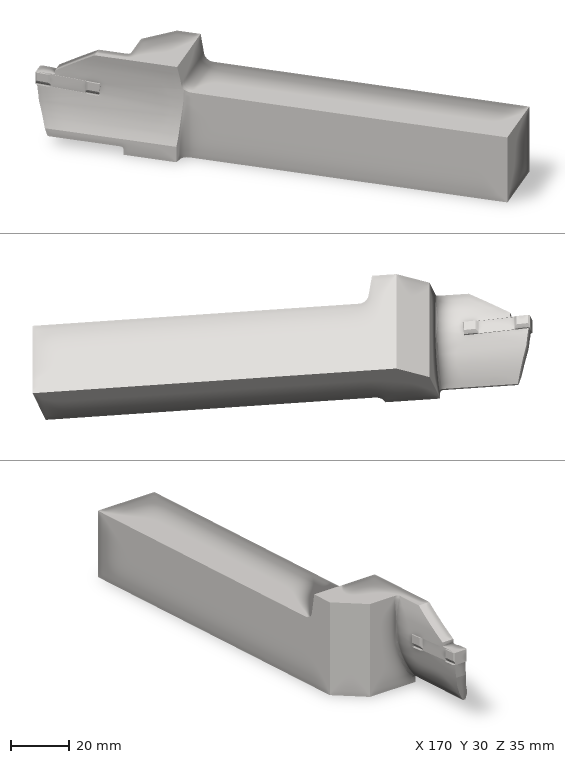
import cadquery as cq
import math

LENGTH = 170.0
WIDTH = 30.0
HEIGHT = 35.0
SHANK = 25.0
SHANK_FRONT = WIDTH - SHANK
FRONT_NECK_END = 55.2
FRONT_NECK_RADIUS = 2.7
TOP_NECK_END = 56.0
TOP_NECK_RADIUS = 3.4
NECK_TILT = math.radians(9.5)
HEAD_START = 33.0
HEAD_CHAMFER = 9.9

BLADE_BOTTOM = 3.0
STEP_RADIUS = 1.0
NOSE_BOTTOM_X = 5.6
NOSE_BEND = (1.5, 14.6)
NOSE_TOP_X = 0.5
JAW_START = 7.0
JAW_NOSE_TOP = 26.5
JAW_SLOPE_END = 21.6
GROOVE_RADIUS = 44.9
GROOVE_DEPTH = 4.2
GROOVE_Z = 25.0
BACK_RADIUS = 35.7
BACK_Y = 9.0
BACK_Z = 25.5
ROOT_FILLET = 1.0

INSERT_LENGTH = 23.5
INSERT_END_SLANT = 0.5
INSERT_HEIGHT = 4.6
INSERT_TOP = SHANK
INSERT_DROP = 1.0
TIP_FRONT = 3.5
TIP_BACK = 9.5
WAIST_FRONT = 4.0
WAIST_BACK = 8.8
TIP_LENGTH = 4.6
FLARE_LENGTH = 0.8
CORNER = 0.5
TIP_RELIEF_WIDTH = 1.2
TIP_RELIEF_HEIGHT = 1.5


def add_neck(outline, outer, shank_level, outward, neck_end, radius):
    """Draw the leaning end face and fillet from the head's outer side to the shank."""
    center = shank_level + outward * radius

    def on_fillet(angle):
        return (neck_end - radius * math.cos(angle),
                center - outward * radius * math.sin(angle))

    start = on_fillet(NECK_TILT)
    middle = on_fillet((NECK_TILT + math.pi / 2) / 2)
    outer_x = start[0] - abs(outer - start[1]) * math.tan(NECK_TILT)
    return (outline.lineTo(outer_x, outer).lineTo(*start)
            .threePointArc(middle, (neck_end, shank_level)))


def cylinder_along_x(radius, y, z, length):
    return cq.Workplane("YZ").center(y, z).circle(radius).extrude(length)


def side_prism():
    """Side outline of the whole holder, through the full width."""
    outline = (
        cq.Workplane("XZ").moveTo(LENGTH, 0)
        .lineTo(HEAD_START, 0)
        .lineTo(HEAD_START, BLADE_BOTTOM - STEP_RADIUS)
        .radiusArc((HEAD_START - STEP_RADIUS, BLADE_BOTTOM), -STEP_RADIUS)
        .lineTo(NOSE_BOTTOM_X, BLADE_BOTTOM)
        .lineTo(*NOSE_BEND)
        .lineTo(NOSE_TOP_X, INSERT_TOP - INSERT_HEIGHT)
        .lineTo(NOSE_TOP_X, INSERT_TOP)
        .lineTo(JAW_START, INSERT_TOP)
        .lineTo(JAW_START, JAW_NOSE_TOP)
        .lineTo(JAW_SLOPE_END, HEIGHT)
    )
    outline = add_neck(outline, HEIGHT, SHANK, 1, TOP_NECK_END, TOP_NECK_RADIUS)
    return outline.lineTo(LENGTH, SHANK).close().extrude(-WIDTH)


def plan_prism():
    """Plan outline of the holder, with the chamfered rear corner of the head."""
    outline = cq.Workplane("XY").moveTo(0, BACK_Y).lineTo(0, 0)
    outline = add_neck(outline, 0, SHANK_FRONT, -1, FRONT_NECK_END, FRONT_NECK_RADIUS)
    return (
        outline.lineTo(LENGTH, SHANK_FRONT)
        .lineTo(LENGTH, WIDTH)
        .lineTo(HEAD_START + HEAD_CHAMFER, WIDTH)
        .lineTo(HEAD_START, WIDTH - HEAD_CHAMFER)
        .lineTo(HEAD_START, BACK_Y)
        .close().extrude(HEIGHT)
    )


def space_behind_blade():
    """Space behind the convex blade face, with a rounded root at the head."""
    space = cq.Workplane("XY").box(HEAD_START, WIDTH, HEIGHT, centered=False)
    blade = cylinder_along_x(BACK_RADIUS, BACK_Y - BACK_RADIUS, BACK_Z, HEAD_START)
    root = cq.selectors.BoxSelector(
        (HEAD_START - ROOT_FILLET, 0, 0), (HEAD_START + ROOT_FILLET, BACK_Y, HEIGHT - ROOT_FILLET)
    )
    return space.cut(blade).edges("%CIRCLE").edges(root).fillet(ROOT_FILLET)


def insert_profile():
    """Sloping side profile of the insert and of its matching slot."""
    bottom = INSERT_TOP - INSERT_HEIGHT
    return (
        cq.Workplane("XZ")
        .polyline([
            (0, INSERT_TOP),
            (INSERT_LENGTH, INSERT_TOP - INSERT_DROP),
            (INSERT_LENGTH - INSERT_END_SLANT, bottom - INSERT_DROP),
            (0, bottom),
        ])
        .close().extrude(-WIDTH)
    )


def make_holder():
    holder = side_prism().intersect(plan_prism())
    groove = cylinder_along_x(GROOVE_RADIUS, GROOVE_DEPTH - GROOVE_RADIUS, GROOVE_Z, LENGTH)
    holder = holder.cut(space_behind_blade()).cut(groove)
    return holder.cut(insert_profile())


def insert_plan():
    """Double-ended plan outline: wide cutting ends joined by a narrow waist."""
    flare_end = TIP_LENGTH + FLARE_LENGTH
    front_half = [
        (0, TIP_FRONT + CORNER), (CORNER, TIP_FRONT),
        (TIP_LENGTH, TIP_FRONT), (flare_end, WAIST_FRONT),
    ]
    back_half = [
        (flare_end, WAIST_BACK), (TIP_LENGTH, TIP_BACK),
        (CORNER, TIP_BACK), (0, TIP_BACK - CORNER),
    ]
    far_front = [(INSERT_LENGTH - x, y) for x, y in reversed(front_half)]
    far_back = [(INSERT_LENGTH - x, y) for x, y in reversed(back_half)]
    return (cq.Workplane("XY").polyline(front_half + far_front + far_back + back_half)
            .close().extrude(HEIGHT))


def tip_relief(side_y, inward):
    """Sloping wedges that narrow both ends along one lower edge of the insert."""
    bottom = INSERT_TOP - INSERT_HEIGHT
    wedge = (
        cq.Workplane("YZ")
        .polyline([
            (side_y, bottom),
            (side_y + inward * TIP_RELIEF_WIDTH, bottom),
            (side_y, bottom + TIP_RELIEF_HEIGHT),
        ])
        .close().extrude(INSERT_LENGTH)
    )
    waist_length = INSERT_LENGTH - 2 * (TIP_LENGTH + FLARE_LENGTH)
    waist = (cq.Workplane("XY").box(waist_length, WIDTH, HEIGHT, centered=(True, False, False))
             .translate((INSERT_LENGTH / 2, 0, 0)))
    slope = math.degrees(math.atan2(INSERT_DROP, INSERT_LENGTH))
    return wedge.rotate((0, 0, bottom), (0, 1, bottom), slope).cut(waist)


def make_insert():
    insert = insert_profile().intersect(insert_plan())
    return insert.cut(tip_relief(TIP_FRONT, 1)).cut(tip_relief(TIP_BACK, -1))


holder = make_holder()
insert = make_insert()
result = cq.Compound.makeCompound([holder.solids().val(), insert.solids().val()])